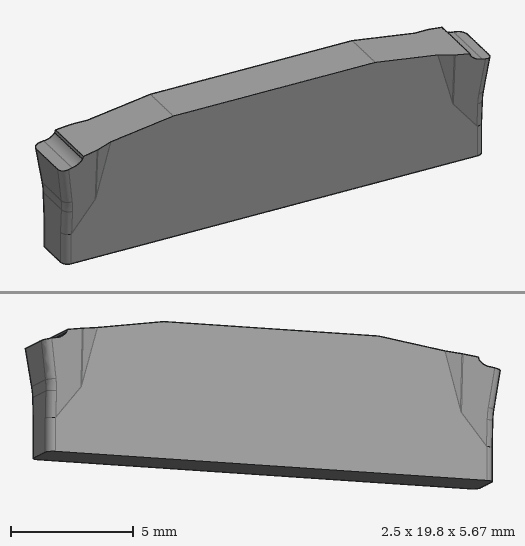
import cadquery as cq
import math

half_length = 9.92
height = 5.67
body_width = 2.0
body_half_width = body_width / 2
body_half_length = 9.66
end_corner_radius = 0.32

flat_half_length = 4.65
shoulder_y = 8.89
shoulder_z = 5.04
groove_start_y = 8.93
groove_start_z = 4.92
groove_end_y = 9.42
groove_end_z = 4.66
groove_sag = 0.05
lip_z = 4.56

blend_start_z = 2.52
blend_end_z = 2.98

flare_apex_y = 8.21
flare_apex_z = 2.75
flare_rise_z = 0.07
flare_rise_y = 0.085
ramp_slope = 0.25
ramp_blend_radius = 0.3

stock_margin = 0.2
stock_z = height + stock_margin
stock_y = half_length + stock_margin
pick_margin = 0.02


def lean_angle():
    """Angle from vertical at which the leaning end face reaches the lip, tangent to its blend arc."""
    blend_middle_z = (blend_start_z + blend_end_z) / 2
    return math.atan2(half_length - body_half_length, lip_z - blend_middle_z)


def end_profile():
    """Side profile of the half of the bar with Y >= 0, as thick stock spanning the flared width."""
    blend_end_y = half_length - (lip_z - blend_end_z) * math.tan(lean_angle())
    run = groove_end_y - groove_start_y
    drop = groove_start_z - groove_end_z
    chord = math.hypot(run, drop)
    groove_middle = (
        (groove_start_y + groove_end_y) / 2 - groove_sag * drop / chord,
        (groove_start_z + groove_end_z) / 2 - groove_sag * run / chord,
    )
    return (
        cq.Workplane("YZ")
        .lineTo(body_half_length, 0)
        .lineTo(body_half_length, blend_start_z)
        .tangentArcPoint((blend_end_y, blend_end_z), relative=False)
        .lineTo(half_length, lip_z)
        .lineTo(groove_end_y, groove_end_z)
        .threePointArc(groove_middle, (groove_start_y, groove_start_z))
        .lineTo(shoulder_y, shoulder_z)
        .lineTo(flat_half_length, height)
        .lineTo(0, height)
        .close()
        .extrude(2 * body_half_width, both=True)
    )


def flare_section(z):
    """Horizontal section of the flare at height z; only its part outside the body shows."""
    corner_x = body_half_width + flare_rise_z * (z - flare_apex_z)
    outer_x = corner_x + flare_rise_y * (stock_y - flare_apex_y)
    ramp_root_y = flare_apex_y - corner_x / ramp_slope
    points = [(0, ramp_root_y), (corner_x, flare_apex_y), (outer_x, stock_y), (0, stock_y)]
    return cq.Wire.makePolygon([cq.Vector(x, y, z) for x, y in points], close=True)


def flare():
    """Flare on the +X side, with the crest between its ramp and its side face rounded."""
    solid = cq.Solid.makeLoft([flare_section(0), flare_section(stock_z)], True)
    middle_x = body_half_width + flare_rise_z * (stock_z / 2 - flare_apex_z)
    crest = cq.selectors.NearestToPointSelector((middle_x, flare_apex_y, stock_z / 2))
    return cq.Workplane(solid).edges(crest).fillet(ramp_blend_radius)


def half_bar():
    """Half of the bar with Y >= 0: straight body and both flares, trimmed to the side profile."""
    body = cq.Workplane("XY").box(2 * body_half_width, stock_y, stock_z, centered=(True, False, False))
    side_flare = flare()
    stock = body.union(side_flare).union(side_flare.mirror("YZ"))
    half = stock.intersect(end_profile())
    near_end_y = body_half_length - end_corner_radius / 2
    left_corner = cq.selectors.BoxSelector(
        (-2 * body_half_width, near_end_y, pick_margin),
        (-body_half_width / 2, stock_y, lip_z - pick_margin),
    )
    right_corner = cq.selectors.BoxSelector(
        (body_half_width / 2, near_end_y, pick_margin),
        (2 * body_half_width, stock_y, lip_z - pick_margin),
    )
    corners = left_corner + right_corner
    return half.edges(corners).fillet(end_corner_radius)


half = half_bar()
result = half.union(half.mirror("XZ")).clean()